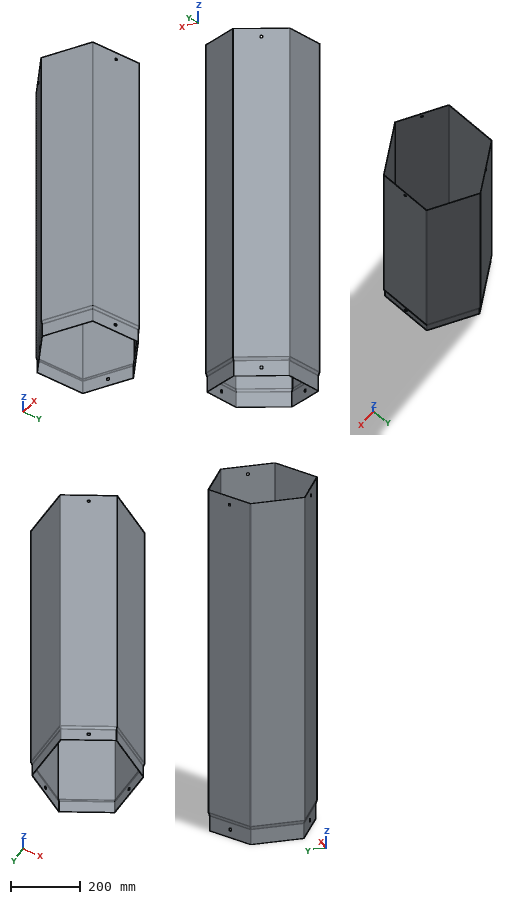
import cadquery as cq
import math


total_height = 1050.0
spigot_height = 46.0
joggle_height = 10.0
tube_bottom = spigot_height + joggle_height

tube_flats = 284.0
joggle_depth = 2.9
spigot_flats = tube_flats - 2 * joggle_depth
wall = 1.6
bend_radius = 2.3
seam_gap = 1.0

hole_angles = (0, 120, 240)
top_hole_diameter = 8.0
top_hole_height = total_height - 25.0
spigot_hole_diameter = 9.2
spigot_hole_height = 25.0


def half_hexagon(flats, corner_radius, height):
    """Closed outline of the +X half of a hexagon, with its two +X corners rounded."""
    side_x = flats / 2
    corner_y = side_x * math.tan(math.pi / 6)
    seam_x = seam_gap / 2
    seam_y = 2 * corner_y - seam_x * math.tan(math.pi / 6)
    bends = [cq.Vector(side_x, -corner_y, height), cq.Vector(side_x, corner_y, height)]
    seam_start = cq.Vector(seam_x, -seam_y, height)
    seam_end = cq.Vector(seam_x, seam_y, height)
    outline = cq.Wire.makePolygon([seam_start, *bends, seam_end], close=True)
    bend_vertices = [vertex for vertex in outline.Vertices() if vertex.X > seam_x + corner_radius]
    return outline.fillet2D(corner_radius, bend_vertices)


def half_core(inset):
    """Solid +X half of the duct, with every side moved inward by the inset."""
    levels = [
        (0, spigot_flats),
        (spigot_height, spigot_flats),
        (tube_bottom, tube_flats),
        (total_height, tube_flats),
    ]
    outlines = [
        half_hexagon(flats - 2 * inset, bend_radius - inset, height) for height, flats in levels
    ]
    return cq.Workplane(cq.Solid.makeLoft(outlines, True))


def hole_ring(diameter, height):
    """Radial drills through the middle of every second side."""
    drill = cq.Workplane("YZ").center(0, height).circle(diameter / 2).extrude(tube_flats)
    ring = cq.Workplane()
    for angle in hole_angles:
        ring = ring.add(drill.rotate((0, 0, 0), (0, 0, 1), angle))
    return ring.combine()


def make_half_shell(turned):
    """One half shell: on the +X side, or mirrored to the -X side when turned is true."""
    shell = half_core(0).cut(half_core(wall))
    if turned:
        shell = shell.mirror("YZ")
    shell = shell.cut(hole_ring(top_hole_diameter, top_hole_height))
    return shell.cut(hole_ring(spigot_hole_diameter, spigot_hole_height))


half_shells = [make_half_shell(turned) for turned in (False, True)]

result = cq.Compound.makeCompound([shell.val() for shell in half_shells])